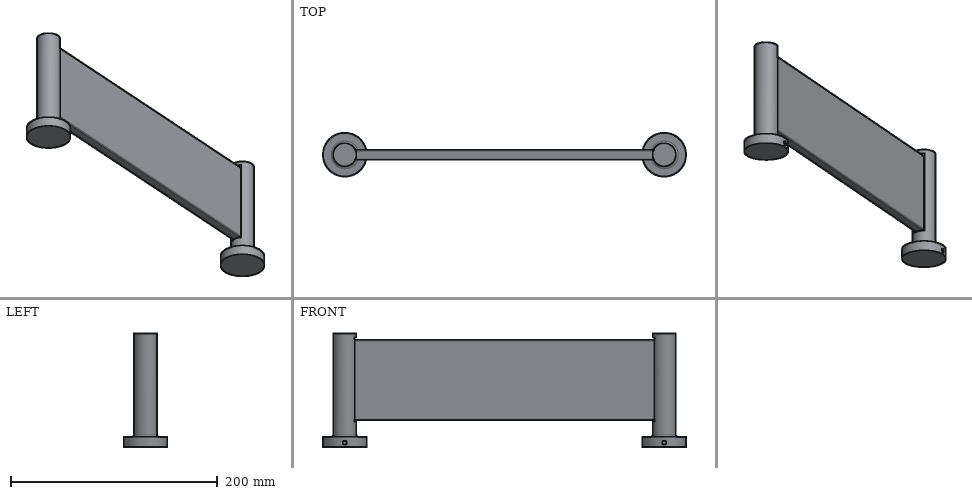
import cadquery as cq
import math

overall_length = 351.5
overall_height = 110.0

flange_radius = 42.5 / 2
flange_height = 10.0
post_radius = 22.5 / 2
root_fillet = 2.0
post_spacing = overall_length - 2 * flange_radius

screw_hole_radius = 4.0 / 2
screw_hole_height = 4.2
screw_hole_depth = 2.0

panel_thickness = 10.0
panel_bottom = 26.0
panel_top = 104.0
panel_edge_fillet = 1.0
panel_height = panel_top - panel_bottom

flat_from_axis = 9.5
flat_bottom = 25.0
flat_top = 106.0


def make_post(side):
    """Turned post and flange with a screw hole and a panel flat; side is -1 or 1 along X."""
    fillet_rim = post_radius + root_fillet
    fillet_top = flange_height + root_fillet
    arc_inset = root_fillet * (1 - math.sqrt(0.5))
    post = (
        cq.Workplane("XZ")
        .lineTo(flange_radius, 0)
        .lineTo(flange_radius, flange_height)
        .lineTo(fillet_rim, flange_height)
        .threePointArc((post_radius + arc_inset, flange_height + arc_inset), (post_radius, fillet_top))
        .lineTo(post_radius, overall_height)
        .lineTo(0, overall_height)
        .close()
        .revolve(360, (0, 0, 0), (0, 1, 0))
    )
    screw_hole = (
        cq.Workplane("XZ", origin=(0, -flange_radius, screw_hole_height))
        .circle(screw_hole_radius)
        .extrude(-screw_hole_depth)
    )
    cutter_width = 2 * post_radius
    cutter_center = -side * (flat_from_axis + cutter_width / 2)
    flat_cutter = (
        cq.Workplane("XY", origin=(cutter_center, 0, flat_bottom))
        .rect(cutter_width, cutter_width)
        .extrude(flat_top - flat_bottom)
    )
    return post.cut(screw_hole).cut(flat_cutter).translate((side * post_spacing / 2, 0, 0))


def make_panel():
    """Flat panel with rounded long edges, reaching from one post's flat to the other's."""
    panel_length = post_spacing - 2 * flat_from_axis
    return (
        cq.Workplane("XY", origin=(0, 0, panel_bottom))
        .rect(panel_length, panel_thickness)
        .extrude(panel_height)
        .edges("|X")
        .fillet(panel_edge_fillet)
    )


posts = [make_post(side) for side in (-1, 1)]
panel = make_panel()

result = cq.Compound.makeCompound([panel.val(), *(post.val() for post in posts)])